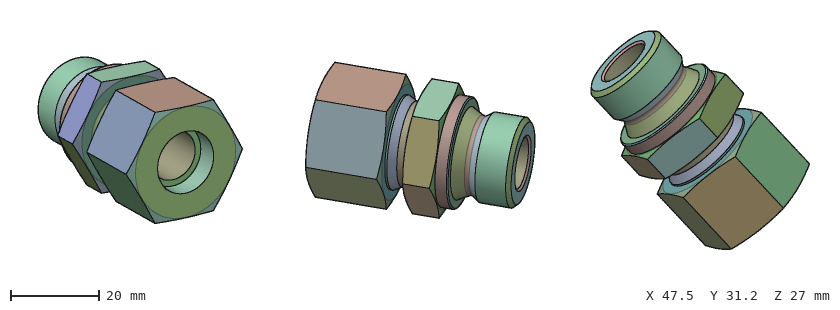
import cadquery as cq
import math


across_flats = 27.0
hex_chamfer_radius = 13.4
hex_chamfer_angle = 15.0

bore_radius = 6.0
bore_chamfer = 0.5
stud_radius = 10.5
stud_chamfer = 1.0
stud_thread_end = 8.3

undercut_bottom_x = 10.6
undercut_bottom_radius = 9.2
undercut_arc_radius = 1.2
stud_side_angle = 30.0

flange_start = 14.0
flange_root_radius = 10.8
flange_radius = 13.0
flange_chamfer = 0.3
body_hex_start = 17.0
body_hex_length = 7.5
body_hex_end = body_hex_start + body_hex_length

neck_radius = 9.9
neck_fillet = 1.0
neck_end = 27.0
nut_thread_start = 29.0
nut_thread_radius = 11.0
body_end = 42.0

nut_start = 29.5
nut_length = 18.0
tube_passage_radius = 7.5


def chamfered_hexagon(start, length):
    """Hexagonal bar along X, corners up and down in Y, both ends turned to a shallow cone."""
    corner_radius = across_flats / math.sqrt(3)
    blank = cq.Workplane("YZ", origin=(start, 0, 0)).polygon(6, 2 * corner_radius).extrude(length)
    chamfer_depth = (corner_radius - hex_chamfer_radius) * math.tan(math.radians(hex_chamfer_angle))
    turned_envelope = (
        cq.Workplane("XY")
        .moveTo(start, 0)
        .lineTo(start, hex_chamfer_radius)
        .lineTo(start + chamfer_depth, corner_radius)
        .lineTo(start + length - chamfer_depth, corner_radius)
        .lineTo(start + length, hex_chamfer_radius)
        .lineTo(start + length, 0)
        .close()
        .revolve(360, (0, 0, 0), (1, 0, 0))
    )
    return blank.intersect(turned_envelope)


def undercut_point(angle):
    """Point on the undercut's rounded bottom, at an angle in degrees from its lowest point."""
    turn = math.radians(angle)
    x = undercut_bottom_x + undercut_arc_radius * math.sin(turn)
    radius = undercut_bottom_radius + undercut_arc_radius * (1 - math.cos(turn))
    return (x, radius)


def flange_side_angle():
    """Slope of the straight line that leaves the undercut arc and meets the flange root."""
    run = flange_start - undercut_bottom_x
    rise = flange_root_radius - undercut_bottom_radius - undercut_arc_radius
    distance_to_root = math.hypot(run, rise)
    return math.degrees(math.atan2(rise, run) + math.asin(undercut_arc_radius / distance_to_root))


def turned_body():
    """Outside of the body without its hexagon, revolved about X."""
    flange_side = flange_side_angle()
    fillet_middle = neck_fillet * (1 - math.sqrt(0.5))
    return (
        cq.Workplane("XY")
        .moveTo(0, 0)
        .lineTo(0, stud_radius - stud_chamfer)
        .lineTo(stud_chamfer, stud_radius)
        .lineTo(stud_thread_end, stud_radius)
        .lineTo(*undercut_point(-stud_side_angle))
        .threePointArc(undercut_point(0), undercut_point(flange_side))
        .lineTo(flange_start, flange_root_radius)
        .lineTo(flange_start, flange_radius - flange_chamfer)
        .lineTo(flange_start + flange_chamfer, flange_radius)
        .lineTo(body_hex_end, flange_radius)
        .lineTo(body_hex_end, neck_radius + neck_fillet)
        .threePointArc(
            (body_hex_end + fillet_middle, neck_radius + fillet_middle),
            (body_hex_end + neck_fillet, neck_radius),
        )
        .lineTo(neck_end, neck_radius)
        .lineTo(nut_thread_start, nut_thread_radius)
        .lineTo(body_end, nut_thread_radius)
        .lineTo(body_end, 0)
        .close()
        .revolve(360, (0, 0, 0), (1, 0, 0))
    )


def body_bore():
    """Through bore of the body, chamfered at the stud end."""
    return (
        cq.Workplane("XY")
        .moveTo(0, 0)
        .lineTo(0, bore_radius + bore_chamfer)
        .lineTo(bore_chamfer, bore_radius)
        .lineTo(body_end, bore_radius)
        .lineTo(body_end, 0)
        .close()
        .revolve(360, (0, 0, 0), (1, 0, 0))
    )


def make_fitting_body():
    body_hexagon = chamfered_hexagon(body_hex_start, body_hex_length)
    return turned_body().union(body_hexagon).cut(body_bore())


def make_nut():
    """Union nut: a threaded recess that ends where the body ends, then a passage for the tube."""
    blank = chamfered_hexagon(nut_start, nut_length)
    threaded_recess = (
        cq.Workplane("YZ", origin=(nut_start, 0, 0)).circle(nut_thread_radius).extrude(body_end - nut_start)
    )
    tube_passage = cq.Workplane("YZ", origin=(nut_start, 0, 0)).circle(tube_passage_radius).extrude(nut_length)
    return blank.cut(threaded_recess).cut(tube_passage)


fitting_body = make_fitting_body()
nut = make_nut()

result = cq.Compound.makeCompound([fitting_body.solids().val(), nut.solids().val()])